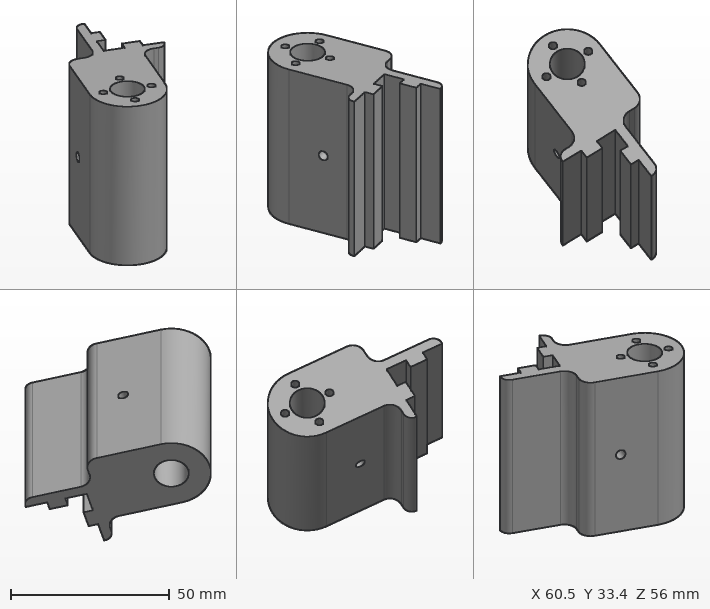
import cadquery as cq

height = 56.0
body_width = 24.95
body_left_x = -24.95
blend_radius = 4.0

overall_length = 60.45
overall_width = 33.4
seat_length = 20.0
lower_flange_thickness = 3.4
upper_flange_thickness = 3.25
flange_tip_radius = 3.0

rail_width = 6.0
lower_rail_height = 2.9
upper_rail_height = 3.1

bore_diameter = 11.0
screw_hole_diameter = 2.6
screw_circle_radius = 8.0
screw_hole_depth = 10.0
screw_hole_count = 4
cross_hole_diameter = 3.2
cross_hole_x = -12.3

body_radius = body_width / 2
flange_tip_x = body_radius - overall_length
flange_tip_y = overall_width - body_radius
seat_x = flange_tip_x + seat_length
seat_y = flange_tip_y - seat_length
lower_flange_y = seat_y - lower_flange_thickness
upper_flange_x = seat_x + upper_flange_thickness


def make_body():
    """Extrude the body and flanges, then round the upright edges."""
    profile = (
        cq.Workplane("XY")
        .moveTo(0, -body_radius)
        .threePointArc((body_radius, 0), (0, body_radius))
        .lineTo(upper_flange_x, body_radius)
        .lineTo(upper_flange_x, flange_tip_y)
        .lineTo(seat_x, flange_tip_y)
        .lineTo(seat_x, seat_y)
        .lineTo(flange_tip_x, seat_y)
        .lineTo(flange_tip_x, lower_flange_y)
        .lineTo(body_left_x, lower_flange_y)
        .lineTo(body_left_x, -body_radius)
        .close()
    )
    rounded_edges = [
        (upper_flange_x, body_radius, blend_radius),
        (body_left_x, lower_flange_y, blend_radius),
        (body_left_x, -body_radius, blend_radius),
        (upper_flange_x, flange_tip_y, flange_tip_radius),
        (flange_tip_x, lower_flange_y, flange_tip_radius),
    ]
    body = profile.extrude(height)
    for x, y, radius in rounded_edges:
        nearest_edge = cq.selectors.NearestToPointSelector((x, y, height / 2))
        body = body.edges("|Z").edges(nearest_edge).fillet(radius)
    return body


def make_rails():
    """Full-height rails, each sharing a face with its flange."""
    lower_rail = (
        cq.Workplane("XY")
        .center(flange_tip_x + seat_length / 2, seat_y)
        .rect(rail_width, 2 * lower_rail_height)
        .extrude(height)
    )
    upper_rail = (
        cq.Workplane("XY")
        .center(seat_x, seat_y + seat_length / 2)
        .rect(2 * upper_rail_height, rail_width)
        .extrude(height)
    )
    return lower_rail.union(upper_rail)


def make_holes():
    """Through bore, blind screw holes around it, and a cross hole along Y."""
    bore = cq.Workplane("XY").circle(bore_diameter / 2).extrude(height)
    screw_holes = (
        cq.Workplane("XY", origin=(0, 0, height))
        .polarArray(screw_circle_radius, 0, 360, screw_hole_count)
        .circle(screw_hole_diameter / 2)
        .extrude(-screw_hole_depth)
    )
    cross_hole = (
        cq.Workplane("XZ", origin=(cross_hole_x, 0, height / 2))
        .circle(cross_hole_diameter / 2)
        .extrude(body_radius, both=True)
    )
    return bore.union(screw_holes).union(cross_hole)


result = make_body().union(make_rails()).cut(make_holes())